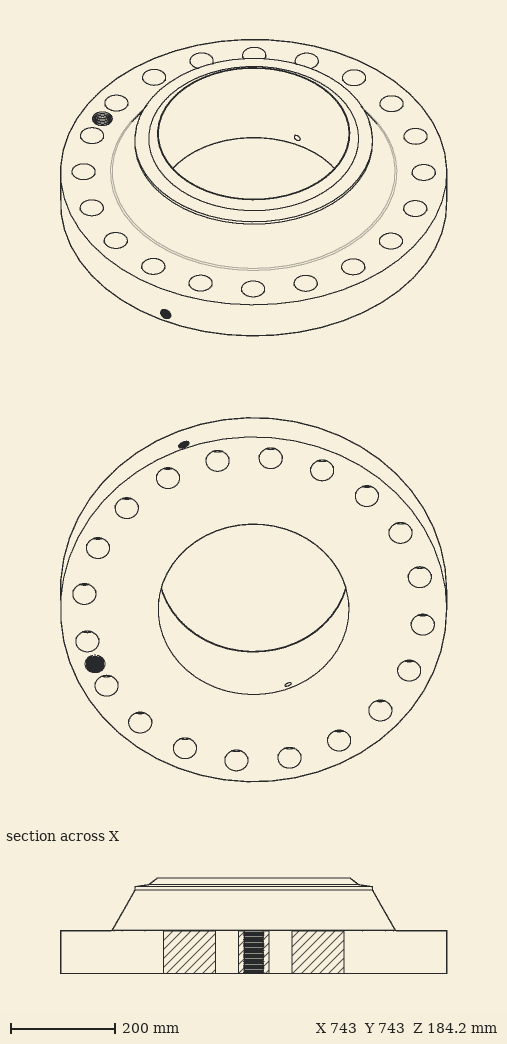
import cadquery as cq
import math

inch = 25.4

flange_diameter = 742.95
flange_thickness = 82.55
overall_length = 184.15

bore_diameter = 366.7
pipe_diameter = 457.2
hub_base_diameter = 546.1
hub_base_fillet = 4.0
hub_collar_height = 6.4

root_face_width = 1.6
bevel_break_diameter = 403.6
steep_bevel_angle = 37.5
shallow_bevel_angle = 8.5

bolt_count = 20
bolt_hole_diameter = 44.45
bolt_circle_diameter = 654.05

jack_minor_diameter = 33.5
jack_major_diameter = 38.1
jack_pitch = inch / 6

tap_hole_diameter = 12.7
tap_minor_diameter = 18.4
tap_major_diameter = 21.3
tap_pitch = inch / 14
tap_thread_depth = 25.0
tap_height = 18.5


def rise(width, angle):
    """Height gained over a horizontal width at an angle in degrees."""
    return width * math.tan(math.radians(angle))


def flange_body():
    """Disc, hub, collar and weld bevel turned as one profile around Z."""
    bore_radius = bore_diameter / 2
    pipe_radius = pipe_diameter / 2
    break_radius = bevel_break_diameter / 2
    root_radius = bore_radius + root_face_width
    break_height = overall_length - rise(break_radius - root_radius, steep_bevel_angle)
    collar_top = break_height - rise(pipe_radius - break_radius, shallow_bevel_angle)
    profile = [
        (bore_radius, 0),
        (flange_diameter / 2, 0),
        (flange_diameter / 2, flange_thickness),
        (hub_base_diameter / 2, flange_thickness),
        (pipe_radius, collar_top - hub_collar_height),
        (pipe_radius, collar_top),
        (break_radius, break_height),
        (root_radius, overall_length),
        (bore_radius, overall_length),
    ]
    body = cq.Workplane("XZ").polyline(profile).close().revolve(360, (0, 0, 0), (0, 1, 0))
    hub_base_edge = body.edges(cq.selectors.RadiusNthSelector(-2))
    return hub_base_edge.fillet(hub_base_fillet)


def bolt_holes():
    """Through holes on the bolt circle, straddling the X and Y axes."""
    return (
        cq.Workplane("XY")
        .polarArray(bolt_circle_diameter / 2, 180 / bolt_count, 360, bolt_count)
        .circle(bolt_hole_diameter / 2)
        .extrude(flange_thickness)
    )


def threaded_hole(minor_diameter, major_diameter, pitch, depth):
    """Cutter for a threaded hole from the origin down -Z, its thread simplified to V-shaped rings."""
    minor_radius = minor_diameter / 2
    major_radius = major_diameter / 2
    profile = [(0, 0), (major_radius, 0)]
    for turn in range(int(depth / pitch)):
        profile.append((minor_radius, -(turn + 0.5) * pitch))
        profile.append((major_radius, -(turn + 1) * pitch))
    profile.append((minor_radius, -depth))
    profile.append((0, -depth))
    return cq.Workplane("XZ").polyline(profile).close().revolve(360, (0, 0, 0), (0, 1, 0))


def jack_hole():
    """Threaded hole through the disc, on the bolt circle."""
    hole = threaded_hole(jack_minor_diameter, jack_major_diameter, jack_pitch, flange_thickness)
    return hole.translate((-bolt_circle_diameter / 2, 0, flange_thickness))


def pressure_taps():
    """One drilling along Y across the whole flange, with a threaded socket at each rim."""
    rim_radius = flange_diameter / 2
    taps = (
        cq.Workplane("XZ", origin=(0, 0, tap_height))
        .circle(tap_hole_diameter / 2)
        .extrude(rim_radius, both=True)
    )
    socket = threaded_hole(tap_minor_diameter, tap_major_diameter, tap_pitch, tap_thread_depth)
    front_socket = socket.rotate((0, 0, 0), (1, 0, 0), 90).translate((0, -rim_radius, tap_height))
    back_socket = front_socket.rotate((0, 0, 0), (0, 0, 1), 180)
    return taps.union(front_socket).union(back_socket)


result = flange_body().cut(bolt_holes()).cut(jack_hole()).cut(pressure_taps())